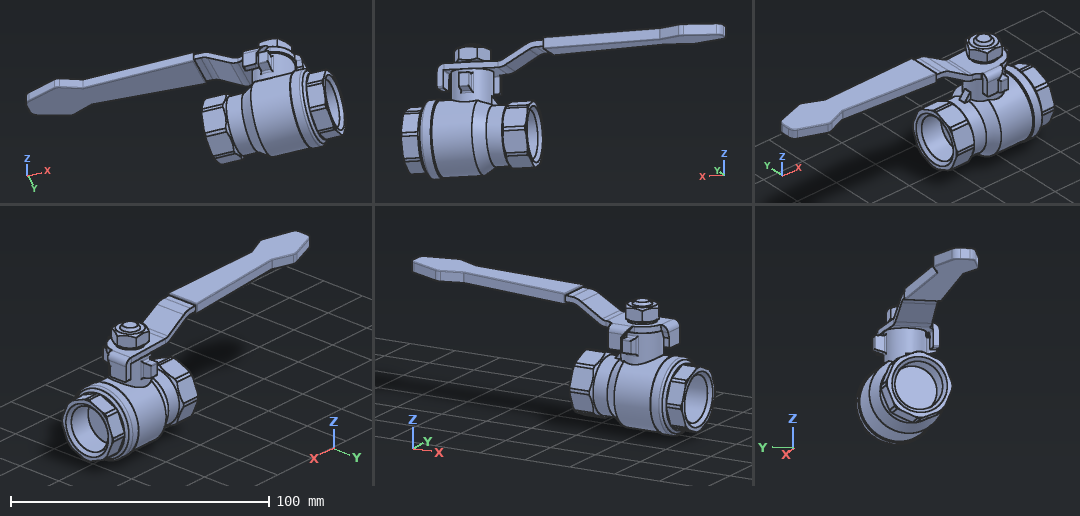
import cadquery as cq
import math


half_length = 25.1
octagon_flats = 25.0
octagon_round_radius = 13.25
end_chamfer = 0.35
octagon_step = 1.0
left_octagon_end = -16.2
right_octagon_start = 18.2
neck_radius = 11.95
neck_end = -8.9
barrel_radius = 15.05
barrel_start = -4.0
collar_radius = 15.5
collar_start = 12.5
collar_lead_in = 0.4
collar_end = 17.1
collar_round = 1.0

bore_radius = 9.5
bore_mouth_radius = 11.0
bore_depth = 11.3

housing_radius = 8.3
lug_width = 4.1
lug_root_fillet = 0.8
lug_reach = 12.45
lug_top = 23.5
lug_bottom = 18.0
lug_root = 6.5
lug_root_bottom = 16.4
lug_round = 0.3
rib_width = 3.2
rib_start = -11.2
rib_top = 15.7

plate_thickness = 2.6
plate_top = 28.25
plate_bottom = plate_top - plate_thickness
plate_radius = 9.2
plate_left_edge = 8.5
strip_half_width = 6.9
root_half_width = 7.4
root_x = -12.2
bend_outer_radius = 2.9
tab_outer_face = 11.95
tab_bottom = 18.5
lever_tilt = math.radians(1.85)
slope_foot_x = -13.15
slope_end_x = -25.35
upper_bend_radius = 5.9
lower_bend_radius = 3.5
tab_corner_round = 0.8
x_tab_side = 0.2
x_tab_flare_bottom = 22.7
x_tab_flare_middle = -0.9
x_tab_flare_top = -1.6
y_tab_far_side = -8.5
y_tab_side = -2.8
y_tab_flare_bottom = 23.8
y_tab_flare_top = 0.9
root_fillet = 4.0
tab_bend_start = tab_outer_face - bend_outer_radius

overall_length = 126.46
lever_tip_x = half_length - overall_length
grip_end_x = -30.4
grip_top_at_tip = 39.0
grip_thickness = 4.6
grip_tip_half_width = 4.0
grip_tip_round = 3.0
shoulder_x = -86.3
shoulder_half_width = 9.2
shoulder_round = 3.0
waist_x = -76.8
waist_half_width = 5.3
grip_end_half_width = 7.4
grip_edge_round = 0.35
grip_overlap = 5.0

nut_flats = 13.0
nut_bottom = 29.0
nut_top = 35.1
nut_face_radius = 5.8
nut_chamfer_angle = math.radians(30)
washer_radius = 5.7
stem_radius = 3.95
stem_tip_radius = 2.95
stem_top = 36.4


def turned(points):
    """Revolve a closed (x, radius) outline about the pipe axis."""
    return cq.Workplane("XY").polyline(points).close().revolve(360, (0, 0, 0), (1, 0, 0))


def wrench_end(x_start, x_end, start_radius, end_radius, start_length, end_length):
    """Octagon with a corner on the Y axis, blunted and tapered by a turned envelope."""
    octagon_diameter = octagon_flats / math.cos(math.pi / 8)
    prism = (
        cq.Workplane("YZ", origin=(x_start, 0, 0))
        .polygon(8, octagon_diameter)
        .extrude(x_end - x_start)
    )
    envelope = turned([
        (x_start, 0),
        (x_start, start_radius),
        (x_start + start_length, octagon_round_radius),
        (x_end - end_length, octagon_round_radius),
        (x_end, end_radius),
        (x_end, 0),
    ])
    return prism.intersect(envelope)


def pipe_body():
    end_radius = octagon_round_radius - end_chamfer
    left_end = wrench_end(
        -half_length, left_octagon_end + octagon_step,
        end_radius, neck_radius, end_chamfer, octagon_step,
    )
    right_end = wrench_end(
        right_octagon_start - octagon_step, half_length,
        octagon_round_radius, end_radius, octagon_step, end_chamfer,
    )
    round_middle = (
        cq.Workplane("XY")
        .moveTo(left_octagon_end, 0)
        .lineTo(left_octagon_end, neck_radius)
        .lineTo(neck_end, neck_radius)
        .lineTo(barrel_start, barrel_radius)
        .lineTo(collar_start - collar_lead_in, barrel_radius)
        .lineTo(collar_start, collar_radius)
        .lineTo(collar_end - collar_round, collar_radius)
        .radiusArc((collar_end, collar_radius - collar_round), collar_round)
        .lineTo(right_octagon_start, octagon_round_radius)
        .lineTo(right_octagon_start, 0)
        .close()
        .revolve(360, (0, 0, 0), (1, 0, 0))
    )
    return round_middle.union(left_end).union(right_end)


def end_bore():
    """Blind threaded-end bore at the -X end, opening through a conical mouth."""
    floor_x = -half_length + bore_depth
    mouth_depth = bore_mouth_radius - bore_radius
    return turned([
        (-half_length, 0),
        (-half_length, bore_mouth_radius),
        (-half_length + mouth_depth, bore_radius),
        (floor_x, bore_radius),
        (floor_x, 0),
    ])


def stop_lug():
    """Stop lug on the +Y side of the stem housing, sloped underneath."""
    lug = (
        cq.Workplane("YZ", origin=(-lug_width / 2, 0, 0))
        .moveTo(lug_root, lug_top)
        .lineTo(lug_reach, lug_top)
        .lineTo(lug_reach, lug_bottom)
        .lineTo(lug_root, lug_root_bottom)
        .lineTo(lug_root, lug_top)
        .close()
        .extrude(lug_width)
    )
    return lug.faces(">Y").edges().fillet(lug_round)


def stem_housing():
    """Round stem housing with a stop lug on either side, filleted at the lug roots."""
    housing = cq.Workplane("XY").circle(housing_radius).extrude(plate_bottom)
    lug = stop_lug()
    housing = housing.union(lug).union(lug.mirror("XZ"))
    for side in (1, -1):
        near = side * lug_root
        far = side * (housing_radius + lug_round)
        roots = cq.selectors.BoxSelector(
            (-lug_width, near, lug_root_bottom - lug_round),
            (lug_width, far, lug_top + lug_round),
        )
        housing = housing.edges(roots).fillet(lug_root_fillet)
    return housing


def housing_rib():
    """Small sloped rib between the pipe neck and the stem housing."""
    return (
        cq.Workplane("XZ", origin=(0, rib_width / 2, 0))
        .moveTo(rib_start, neck_radius)
        .lineTo(-housing_radius, rib_top)
        .lineTo(0, rib_top)
        .lineTo(0, 0)
        .lineTo(rib_start, 0)
        .close()
        .extrude(rib_width)
    )


def plate_plan():
    """Plan of the lever plate and strip, as a prism taller than the lever."""
    arc_end = math.sqrt(plate_radius ** 2 - tab_bend_start ** 2)
    return (
        cq.Workplane("XY")
        .moveTo(lever_tip_x, strip_half_width)
        .lineTo(grip_end_x, strip_half_width)
        .lineTo(root_x, root_half_width)
        .lineTo(tab_bend_start, plate_left_edge)
        .lineTo(tab_bend_start, -arc_end)
        .radiusArc((arc_end, -tab_bend_start), plate_radius)
        .lineTo(-tab_bend_start, -tab_bend_start)
        .radiusArc((root_x, -root_half_width), -root_fillet)
        .lineTo(grip_end_x, -strip_half_width)
        .lineTo(lever_tip_x, -strip_half_width)
        .close()
        .extrude(2 * plate_top)
    )


def lever_height(x):
    """Top face of the tilted grip arm, without the sleeve."""
    sleeve = (grip_thickness - plate_thickness) / 2
    return grip_top_at_tip - sleeve - (x - lever_tip_x) * math.tan(lever_tilt)


def bend_edge(x, z):
    """Selector for the edge along Y that passes through (x, z)."""
    return cq.selectors.NearestToPointSelector((x, 0, z))


def lever_strip():
    """Bent strip: tilted grip arm, slope, and flat plate around the stem."""
    slope_end_z = lever_height(slope_end_x)
    slope_angle = math.atan2(slope_end_z - plate_top, slope_foot_x - slope_end_x)
    upper_shift = plate_thickness * math.tan((slope_angle + lever_tilt) / 2)
    lower_shift = plate_thickness * math.tan(slope_angle / 2)
    arm_start_x = grip_end_x - grip_overlap
    side = (
        cq.Workplane("XZ", origin=(0, plate_radius, 0))
        .moveTo(arm_start_x, lever_height(arm_start_x))
        .lineTo(slope_end_x, slope_end_z)
        .lineTo(slope_foot_x, plate_top)
        .lineTo(tab_bend_start, plate_top)
        .lineTo(tab_bend_start, plate_bottom)
        .lineTo(slope_foot_x - lower_shift, plate_bottom)
        .lineTo(slope_end_x - upper_shift, slope_end_z - plate_thickness)
        .lineTo(arm_start_x, lever_height(arm_start_x) - plate_thickness)
        .close()
        .extrude(2 * plate_radius)
    )
    upper_bend_top = bend_edge(slope_end_x, slope_end_z)
    upper_bend_bottom = bend_edge(slope_end_x - upper_shift, slope_end_z - plate_thickness)
    lower_bend_top = bend_edge(slope_foot_x, plate_top)
    lower_bend_bottom = bend_edge(slope_foot_x - lower_shift, plate_bottom)
    side = side.edges(upper_bend_top).fillet(upper_bend_radius + plate_thickness)
    side = side.edges(upper_bend_bottom).fillet(upper_bend_radius)
    side = side.edges(lower_bend_top).fillet(lower_bend_radius)
    side = side.edges(lower_bend_bottom).fillet(lower_bend_radius + plate_thickness)
    return side.intersect(plate_plan())


def bent_tab(face_outline):
    """Tab bent down from the +X plate edge, trimmed to a (y, z) outline of its face."""
    inner_radius = bend_outer_radius - plate_thickness
    inner_face = tab_outer_face - plate_thickness
    bend_z = plate_top - bend_outer_radius
    span = 2 * tab_outer_face
    section = (
        cq.Workplane("XZ", origin=(0, tab_outer_face, 0))
        .moveTo(tab_bend_start, plate_top)
        .radiusArc((tab_outer_face, bend_z), bend_outer_radius)
        .lineTo(tab_outer_face, tab_bottom)
        .lineTo(inner_face, tab_bottom)
        .lineTo(inner_face, bend_z)
        .radiusArc((tab_bend_start, plate_bottom), -inner_radius)
        .close()
        .extrude(span)
    )
    trim = cq.Workplane("YZ").polyline(face_outline).close().extrude(span)
    trim = trim.faces("<Z").edges("|X").fillet(tab_corner_round)
    return section.intersect(trim)


def grip():
    """Plastic sleeve, tapered to a waist and flared into a pointed paddle."""
    plan = [
        (lever_tip_x, grip_tip_half_width),
        (shoulder_x, shoulder_half_width),
        (waist_x, waist_half_width),
        (grip_end_x, grip_end_half_width),
    ]
    mirrored = [(x, -y) for x, y in reversed(plan)]
    sleeve = cq.Workplane("XY").polyline(plan + mirrored).close().extrude(2 * plate_top)
    sleeve = sleeve.edges("|Z").edges("<X").fillet(grip_tip_round)
    sleeve = sleeve.edges("|Z").edges(">Y or <Y").fillet(shoulder_round)
    drop = (grip_end_x - lever_tip_x) * math.tan(lever_tilt)
    slab = (
        cq.Workplane("XZ", origin=(0, shoulder_half_width, 0))
        .moveTo(lever_tip_x, grip_top_at_tip)
        .lineTo(grip_end_x, grip_top_at_tip - drop)
        .lineTo(grip_end_x, grip_top_at_tip - drop - grip_thickness)
        .lineTo(lever_tip_x, grip_top_at_tip - grip_thickness)
        .close()
        .extrude(2 * shoulder_half_width)
    )
    return sleeve.intersect(slab).edges().fillet(grip_edge_round)


def nut():
    corner_diameter = nut_flats / math.cos(math.pi / 6)
    height = nut_top - nut_bottom
    prism = cq.Workplane("XY", origin=(0, 0, nut_bottom)).polygon(6, corner_diameter).extrude(height)
    corner_radius = corner_diameter / 2
    chamfer_drop = (corner_radius - nut_face_radius) * math.tan(nut_chamfer_angle)
    envelope = (
        cq.Workplane("XZ")
        .moveTo(0, nut_bottom)
        .lineTo(nut_face_radius, nut_bottom)
        .lineTo(corner_radius, nut_bottom + chamfer_drop)
        .lineTo(corner_radius, nut_top - chamfer_drop)
        .lineTo(nut_face_radius, nut_top)
        .lineTo(0, nut_top)
        .close()
        .revolve(360, (0, 0, 0), (0, 1, 0))
    )
    washer = (
        cq.Workplane("XY", origin=(0, 0, plate_bottom))
        .circle(washer_radius)
        .extrude(nut_bottom - plate_bottom)
    )
    return prism.intersect(envelope).union(washer)


def stem_tip():
    """Tapered stem end above the nut."""
    return (
        cq.Workplane("XZ")
        .moveTo(0, nut_bottom)
        .lineTo(stem_radius, nut_bottom)
        .lineTo(stem_radius, nut_top)
        .lineTo(stem_tip_radius, stem_top)
        .lineTo(0, stem_top)
        .close()
        .revolve(360, (0, 0, 0), (0, 1, 0))
    )


def x_tab():
    """Tab on the +X side; its -Y edge narrows below the bend."""
    return bent_tab([
        (plate_left_edge, plate_top),
        (plate_left_edge, tab_bottom),
        (x_tab_side, tab_bottom),
        (x_tab_side, x_tab_flare_bottom),
        (x_tab_flare_middle, plate_top - bend_outer_radius),
        (x_tab_flare_top, plate_top),
    ])


def y_tab():
    """Tab on the -Y side, narrowed to pass beside the stop lug."""
    tab = bent_tab([
        (y_tab_far_side, plate_top),
        (y_tab_far_side, tab_bottom),
        (y_tab_side, tab_bottom),
        (y_tab_side, y_tab_flare_bottom),
        (y_tab_flare_top, plate_top),
    ])
    return tab.rotate((0, 0, 0), (0, 0, 1), -90)


body = pipe_body().union(stem_housing()).union(housing_rib())
bore = end_bore()
body = body.cut(bore).cut(bore.mirror("YZ"))
lever = lever_strip().union(x_tab()).union(y_tab()).union(grip())
result = body.union(lever).union(nut()).union(stem_tip())